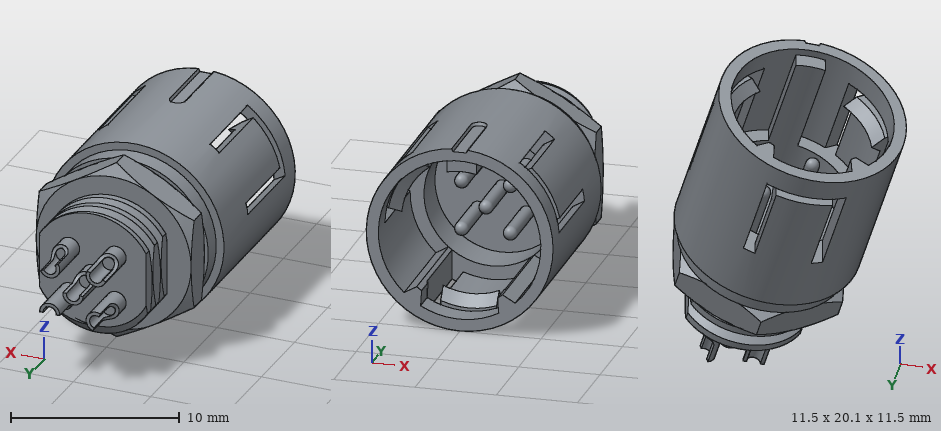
import cadquery as cq
import math


SHELL_LENGTH = 10.75
COLLAR_LENGTH = 1.2
NUT_LENGTH = 2.0
THREAD_LENGTH = 3.15
CUP_LENGTH = 3.0
COLLAR_END = SHELL_LENGTH + COLLAR_LENGTH
NUT_END = COLLAR_END + NUT_LENGTH
THREAD_END = NUT_END + THREAD_LENGTH
CUP_END = THREAD_END + CUP_LENGTH

CLEARANCE = 1.0

SHELL_RADIUS = 5.75
BORE_RADIUS = 5.0
BORE_DEPTH = 7.1
MID_WALL_RADIUS = (BORE_RADIUS + SHELL_RADIUS) / 2
INNER_BORE_RADIUS = 4.15
FLOOR_DEPTH = 9.55

KEY_WIDTH = 1.8
KEY_START = 0.5

KEYWAY_INNER_HALF_WIDTH = 2.34
KEYWAY_OUTER_HALF_WIDTH = 2.42
RIB_OUTER_FLANK_X = 2.64
RIB_OUTER_FLANK_ANGLE = 30.0

LATCH_ANGLES = (0, 120, 240)
LATCH_WIDTH = 3.45
LATCH_TIP = 2.0
WINDOW_WIDTH = 4.84
WINDOW_START = 1.47
WINDOW_END = BORE_DEPTH
HOOK_RADIUS = 4.3
HOOK_PEAK = 2.6
HOOK_END = 3.15

GROOVE_FLOOR_WIDTH = 0.8
GROOVE_MOUTH_WIDTH = 1.0
GROOVE_LENGTH = 4.8
GROOVE_DEPTH = 0.2

COLLAR_RADIUS = 5.25
NUT_ACROSS_FLATS = 10.0
NUT_CHAMFER_ANGLE = 30.0
HEX_HALF_ANGLE = 30.0
THREAD_RADIUS = 4.0
THREAD_PITCH = 1.25
THREAD_ROOT_RADIUS = 3.35
THREAD_GROOVE_WIDTH = 0.78
THREAD_FLAT_WIDTH = 6.9
THREAD_CUTTER_OVERSHOOT = 0.1
THREAD_EXTRA_TURNS = 2
THREAD_GROOVE_OFFSET = 0.33

CONTACT_SPACING = 1.5
CONTACTS = (
    (0, 0, 0),
    (-CONTACT_SPACING, CONTACT_SPACING, -22),
    (CONTACT_SPACING, CONTACT_SPACING, 30),
    (-CONTACT_SPACING, -CONTACT_SPACING, 248),
    (CONTACT_SPACING, -CONTACT_SPACING, 180),
)
PIN_RADIUS = 0.425
PIN_TIP = 5.5
CUP_RADIUS = 0.65
CUP_BORE_RADIUS = 0.42
CUP_CUT_LENGTH = 1.95
CUP_CUT_HEIGHT = 0.03
CUP_CUT_FILLET = CUP_RADIUS - CUP_CUT_HEIGHT


def section(y_start, y_end, draw):
    """Extrude along Y the profile that draw() puts on an X-Z workplane."""
    plane = cq.Workplane("XZ", origin=(0, y_end, 0))
    return draw(plane).extrude(y_end - y_start)


def cylinder(radius, y_start, y_end, x=0, z=0):
    return section(y_start, y_end, lambda w: w.center(x, z).circle(radius))


def block(width, y_start, y_end, z_start, z_end):
    height = z_end - z_start
    return section(y_start, y_end, lambda w: w.center(0, z_start + height / 2).rect(width, height))


def turn(solid, angle):
    """Rotate about the Y axis, clockwise as seen from the mouth."""
    return solid.rotate((0, 0, 0), (0, 1, 0), angle)


def revolve_about_y(points):
    """Revolve a polygon of (radius, y) points about the Y axis."""
    return cq.Workplane("XY").polyline(points).close().revolve(360, (0, 0, 0), (0, 1, 0))


def make_bore():
    return cylinder(BORE_RADIUS, 0, BORE_DEPTH).union(cylinder(INNER_BORE_RADIUS, 0, FLOOR_DEPTH))


def make_key():
    bar = block(KEY_WIDTH, KEY_START, BORE_DEPTH, 0, BORE_RADIUS)
    bar = bar.cut(cylinder(INNER_BORE_RADIUS, 0, BORE_DEPTH))
    return bar.intersect(cylinder(SHELL_RADIUS, 0, BORE_DEPTH))


def make_rib():
    """Rib on the +X side of the keyway, trimmed from the inner bore radius out into the wall."""
    inner_z = -math.sqrt(INNER_BORE_RADIUS**2 - RIB_OUTER_FLANK_X**2)
    keyway_z = -math.sqrt(INNER_BORE_RADIUS**2 - KEYWAY_INNER_HALF_WIDTH**2)
    flank_run = MID_WALL_RADIUS - INNER_BORE_RADIUS
    flank_angle = math.radians(RIB_OUTER_FLANK_ANGLE)
    flank_end_x = RIB_OUTER_FLANK_X + flank_run * math.cos(flank_angle)
    flank_end_z = inner_z - flank_run * math.sin(flank_angle)
    corners = [
        (KEYWAY_INNER_HALF_WIDTH, keyway_z),
        (RIB_OUTER_FLANK_X, inner_z),
        (flank_end_x, flank_end_z),
        (KEYWAY_OUTER_HALF_WIDTH, keyway_z - flank_run),
    ]
    rib = section(0, BORE_DEPTH, lambda w: w.polyline(corners).close())
    return rib.intersect(cylinder(MID_WALL_RADIUS, 0, BORE_DEPTH))


def make_latch_slot():
    """U-shaped slot around the bottom latch."""
    z_outer = -SHELL_RADIUS - CLEARANCE
    z_inner = -INNER_BORE_RADIUS + CLEARANCE
    window = block(WINDOW_WIDTH, WINDOW_START, WINDOW_END, z_outer, z_inner)
    return window.cut(block(LATCH_WIDTH, LATCH_TIP, WINDOW_END, z_outer, z_inner))


def make_hook():
    """V-shaped nose on the inner face of the bottom latch."""
    ring = revolve_about_y([
        (MID_WALL_RADIUS, LATCH_TIP),
        (BORE_RADIUS, LATCH_TIP),
        (HOOK_RADIUS, HOOK_PEAK),
        (BORE_RADIUS, HOOK_END),
        (MID_WALL_RADIUS, HOOK_END),
    ])
    return ring.intersect(block(LATCH_WIDTH, LATCH_TIP, HOOK_END, -SHELL_RADIUS, 0))


def make_index_groove():
    flare = (GROOVE_MOUTH_WIDTH - GROOVE_FLOOR_WIDTH) / 2
    taper = math.degrees(math.atan2(flare, GROOVE_DEPTH))
    radius = GROOVE_FLOOR_WIDTH / 2
    straight = GROOVE_LENGTH - radius - flare
    return (
        cq.Workplane("XY", origin=(0, 0, SHELL_RADIUS - GROOVE_DEPTH))
        .slot2D(2 * straight + GROOVE_FLOOR_WIDTH, GROOVE_FLOOR_WIDTH, 90)
        .extrude(GROOVE_DEPTH, taper=-taper)
    )


def make_shell():
    shell = cylinder(SHELL_RADIUS, 0, SHELL_LENGTH).cut(make_bore())
    rib = make_rib()
    shell = shell.union(make_key()).union(rib).union(rib.mirror("YZ"))
    latch_slot = make_latch_slot()
    hook = make_hook()
    for angle in LATCH_ANGLES:
        shell = shell.cut(turn(latch_slot, angle))
        shell = shell.union(turn(hook, angle))
    return shell.cut(make_index_groove())


def make_nut():
    """Hexagon with corners on +Z and -Z, both ends chamfered by a cone."""
    corner_radius = NUT_ACROSS_FLATS / 2 / math.cos(math.radians(HEX_HALF_ANGLE))
    face_radius = NUT_ACROSS_FLATS / 2
    outer_radius = corner_radius + CLEARANCE
    chamfer = (outer_radius - face_radius) * math.tan(math.radians(NUT_CHAMFER_ANGLE))
    hexagon = section(COLLAR_END, NUT_END, lambda w: w.polygon(6, 2 * corner_radius))
    cone_limits = revolve_about_y([
        (0, COLLAR_END),
        (face_radius, COLLAR_END),
        (outer_radius, COLLAR_END + chamfer),
        (outer_radius, NUT_END - chamfer),
        (face_radius, NUT_END),
        (0, NUT_END),
    ])
    return turn(hexagon, HEX_HALF_ANGLE).intersect(cone_limits)


def make_thread():
    """Right-hand thread with a flat on each X side."""
    rod = cylinder(THREAD_RADIUS, NUT_END, THREAD_END)
    depth = THREAD_RADIUS - THREAD_ROOT_RADIUS
    half_width = THREAD_GROOVE_WIDTH / 2 * (depth + THREAD_CUTTER_OVERSHOOT) / depth
    start = THREAD_GROOVE_OFFSET - THREAD_EXTRA_TURNS * THREAD_PITCH
    turns = math.ceil(THREAD_LENGTH / THREAD_PITCH) + 2 * THREAD_EXTRA_TURNS
    helix_length = turns * THREAD_PITCH
    helix = cq.Wire.makeHelix(THREAD_PITCH, helix_length, THREAD_ROOT_RADIUS, cq.Vector(0, 0, start))
    groove = (
        cq.Workplane("XZ")
        .polyline([
            (THREAD_ROOT_RADIUS, start),
            (THREAD_RADIUS + THREAD_CUTTER_OVERSHOOT, start + half_width),
            (THREAD_RADIUS + THREAD_CUTTER_OVERSHOOT, start - half_width),
        ])
        .close()
        .sweep(cq.Workplane(helix), isFrenet=True)
    )
    groove = groove.rotate((0, 0, 0), (1, 0, 0), -90).translate((0, NUT_END, 0))
    return rod.cut(groove).intersect(
        block(THREAD_FLAT_WIDTH, NUT_END, THREAD_END, -THREAD_RADIUS, THREAD_RADIUS)
    )


def make_pin(x, z):
    """Front pin with a hemispherical tip."""
    ball_y = PIN_TIP + PIN_RADIUS
    tip = cq.Workplane("XY").sphere(PIN_RADIUS).translate((x, ball_y, z))
    return cylinder(PIN_RADIUS, ball_y, FLOOR_DEPTH, x, z).union(tip)


def make_cup(x, z, opening_angle):
    """Solder cup: a drilled post with its opening side cut away down to a rounded shoulder."""
    post = cylinder(CUP_RADIUS, THREAD_END, CUP_END)
    cut_start = CUP_END - CUP_CUT_LENGTH
    post = post.cut(cylinder(CUP_BORE_RADIUS, cut_start, CUP_END))
    arc_offset = CUP_CUT_FILLET * (1 - math.sin(math.radians(45)))
    cutaway = (
        cq.Workplane("YZ", origin=(-CUP_RADIUS, 0, 0))
        .moveTo(CUP_END, CUP_CUT_HEIGHT)
        .lineTo(cut_start + CUP_CUT_FILLET, CUP_CUT_HEIGHT)
        .threePointArc((cut_start + arc_offset, CUP_CUT_HEIGHT + arc_offset), (cut_start, CUP_RADIUS))
        .lineTo(CUP_END, CUP_RADIUS)
        .close()
        .extrude(2 * CUP_RADIUS)
    )
    return turn(post.cut(cutaway), opening_angle).translate((x, 0, z))


def make_connector():
    body = make_shell()
    body = body.union(cylinder(COLLAR_RADIUS, SHELL_LENGTH, COLLAR_END))
    body = body.union(make_nut())
    body = body.union(make_thread())
    for x, z, opening_angle in CONTACTS:
        body = body.union(make_pin(x, z))
        body = body.union(make_cup(x, z, opening_angle))
    return body


result = make_connector()